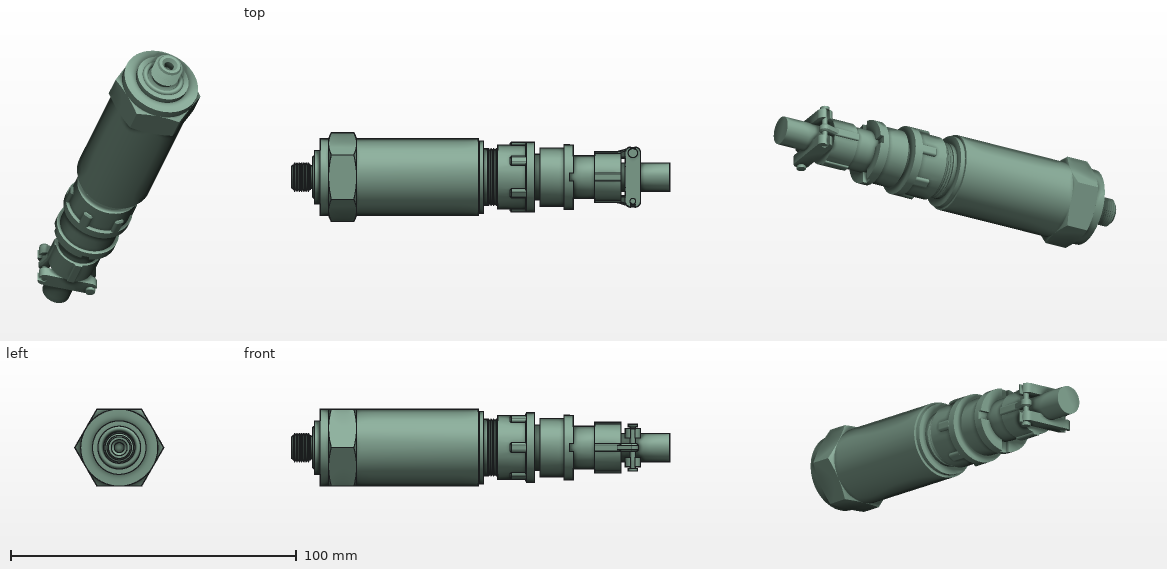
import cadquery as cq
import math


port_diameter = 10.0
port_root_diameter = 8.57
port_thread_pitch = 0.8
port_thread_turns = 7
port_undercut_diameter = 8.0
port_undercut_start = 6.7
port_tip_diameter = 7.6
port_thread_start = 0.7
port_bore_diameter = 3.5
port_bore_depth = 4.0
port_bore_mouth_diameter = 5.6
port_bore_mouth_depth = 1.0

o_ring_inner_diameter = 11.0
o_ring_section = 2.0
o_ring_outer_diameter = o_ring_inner_diameter + 2 * o_ring_section
o_ring_protrusion = 0.75

pilot_start = 8.0
body_start = 10.0
hex_start = 12.95
hex_end = 22.75
body_end = 65.4
end_cap_end = 67.2
shoulder_end = 68.5
housing_end = 72.1

pilot_diameter = 18.74
body_diameter = 27.0
hex_across_flats = body_diameter
hex_across_corners = hex_across_flats / math.cos(math.pi / 6)
hex_chamfer_length = 0.95
end_cap_diameter = 25.4
end_groove_width = 0.3
end_groove_diameter = 25.0
rear_thread_diameter = 19.88
rear_root_diameter = 18.74
rear_thread_turns = 4
rear_thread_pitch = (housing_end - shoulder_end) / rear_thread_turns

nut_start = housing_end
flange_start = 82.2
flange_end = 85.1
barrel_start = 86.9
ring_start = 95.3
ring_end = 98.6
collar_start = 106.1
collar_end = 115.3

nut_diameter = 22.5
flange_diameter = 24.5
flange_cone_length = 0.4
neck_diameter = 16.0
barrel_diameter = 20.5
ring_diameter = 22.8
tube_diameter = 15.0
collar_diameter = 16.74
collar_rib_diameter = 17.88
collar_rib_width = 2.9
collar_rib_edge_radius = 0.5

grip_count = 6
grip_width = 3.5
grip_length = 5.8
grip_edge_radius = 0.9
grip_chamfer = 0.6
notch_width = 2.9
notch_length = 1.3

clamp_x = 119.45
screw_y = 8.45
bar_width = 5.5
bar_half_length = 10.6
bar_corner_radius = 2.2
bar_inner_z = 3.4
bar_outer_z = 6.75
bar_slot_width = 1.6
screw_diameter = 2.0
screw_head_diameter = 3.3
screw_head_bottom_z = 7.25
screw_head_top_z = 8.25
screw_tip_recess = 0.3
ear_radius = 2.0
ear_thickness = 2.7
ear_edge_chamfer = 0.6
ear_root_length = 1.3

cable_diameter = 10.0
cable_end = 132.42


def revolve_x(points):
    """Revolve an (x, radius) outline about the X axis."""
    return cq.Workplane("XY").polyline(points).close().revolve(360, (0, 0, 0), (1, 0, 0))


def rod_x(start, end, diameter):
    return cq.Workplane("YZ", origin=(start, 0, 0)).circle(diameter / 2).extrude(end - start)


def thread_outline(start, pitch, turns, major, minor):
    """Zigzag crest and root points of a thread made of V-shaped rings."""
    points = []
    for turn in range(turns):
        root_x = start + turn * pitch
        points.append((root_x, minor / 2))
        points.append((root_x + pitch / 2, major / 2))
    points.append((start + turns * pitch, minor / 2))
    return points


def make_housing():
    port = revolve_x(
        [(0, 0), (0, port_tip_diameter / 2)]
        + thread_outline(port_thread_start, port_thread_pitch, port_thread_turns,
                         port_diameter, port_root_diameter)
        + [
            (port_undercut_start, port_root_diameter / 2),
            (port_undercut_start, port_undercut_diameter / 2),
            (pilot_start, port_undercut_diameter / 2),
            (pilot_start, 0),
        ]
    )
    port_bore = revolve_x([
        (0, 0),
        (0, port_bore_mouth_diameter / 2),
        (port_bore_mouth_depth, port_bore_diameter / 2),
        (port_bore_depth, port_bore_diameter / 2),
        (port_bore_depth, 0),
    ])

    groove_depth = o_ring_section - o_ring_protrusion
    o_ring_groove = rod_x(pilot_start, pilot_start + groove_depth, o_ring_outer_diameter).cut(
        rod_x(pilot_start, pilot_start + groove_depth, o_ring_inner_diameter)
    )
    pilot = rod_x(pilot_start, body_start, pilot_diameter).cut(o_ring_groove)

    hexagon = (
        cq.Workplane("YZ", origin=(hex_start, 0, 0))
        .polygon(6, hex_across_corners)
        .extrude(hex_end - hex_start)
    )
    hex_chamfer_cone = revolve_x([
        (hex_start, 0),
        (hex_start, hex_across_flats / 2),
        (hex_start + hex_chamfer_length, hex_across_corners / 2),
        (hex_end - hex_chamfer_length, hex_across_corners / 2),
        (hex_end, hex_across_flats / 2),
        (hex_end, 0),
    ])

    sleeve = rod_x(body_start, body_end, body_diameter)
    end_groove = rod_x(body_end, body_end + end_groove_width, end_groove_diameter)
    end_cap = rod_x(body_end + end_groove_width, end_cap_end, end_cap_diameter)

    rear_thread = revolve_x(
        [(end_cap_end, 0), (end_cap_end, rear_thread_diameter / 2),
         (shoulder_end, rear_thread_diameter / 2)]
        + thread_outline(shoulder_end, rear_thread_pitch, rear_thread_turns,
                         rear_thread_diameter, rear_root_diameter)
        + [(housing_end, 0)]
    )

    return (
        port.cut(port_bore)
        .union(pilot)
        .union(sleeve)
        .union(hexagon.intersect(hex_chamfer_cone))
        .union(end_groove)
        .union(end_cap)
        .union(rear_thread)
    )


def make_o_ring():
    centre_x = pilot_start - o_ring_protrusion + o_ring_section / 2
    centre_radius = (o_ring_inner_diameter + o_ring_section) / 2
    return (
        cq.Workplane("XY")
        .center(centre_x, centre_radius)
        .circle(o_ring_section / 2)
        .revolve(360, (0, -centre_radius, 0), (1, -centre_radius, 0))
    )


def make_coupling_nut():
    nut = rod_x(nut_start, flange_start, nut_diameter)
    flange = revolve_x([
        (flange_start - flange_cone_length, 0),
        (flange_start - flange_cone_length, nut_diameter / 2),
        (flange_start, flange_diameter / 2),
        (flange_end, flange_diameter / 2),
        (flange_end, 0),
    ])
    grip_height = (flange_diameter - neck_diameter) / 2
    grip_centre_y = (flange_diameter - grip_height) / 2
    grip = (
        cq.Workplane("XY", origin=(flange_start - grip_length / 2, grip_centre_y, 0))
        .box(grip_length, grip_height, grip_width)
        .edges("|X and >Y")
        .fillet(grip_edge_radius)
        .faces("<X")
        .chamfer(grip_chamfer)
    )
    nut = nut.union(flange)
    for index in range(grip_count):
        nut = nut.union(grip.rotate((0, 0, 0), (1, 0, 0), index * 360 / grip_count))
    return nut


def make_backshell():
    neck = rod_x(flange_end, barrel_start, neck_diameter)
    barrel = rod_x(barrel_start, ring_start, barrel_diameter)
    tube = rod_x(ring_end - notch_length, collar_start, tube_diameter)
    collar = rod_x(collar_start, collar_end, collar_diameter)

    cross_span = 2 * ring_diameter
    notch = (
        cq.Workplane("XY", origin=(ring_end - notch_length / 2, 0, 0))
        .box(notch_length, cross_span, notch_width)
    )
    ring = rod_x(ring_start, ring_end, ring_diameter)
    collar_length = collar_end - collar_start
    rib_pair = (
        cq.Workplane("XY", origin=((collar_start + collar_end) / 2, 0, 0))
        .box(collar_length, collar_rib_diameter, collar_rib_width)
        .edges("|X")
        .fillet(collar_rib_edge_radius)
    )
    for angle in (0, 90):
        ring = ring.cut(notch.rotate((0, 0, 0), (1, 0, 0), angle))
        collar = collar.union(rib_pair.rotate((0, 0, 0), (1, 0, 0), angle))
    return neck.union(barrel).union(ring).union(tube).union(collar)


def make_ear():
    """Lug that carries the clamp screw on the +Y side of the collar."""
    root_x = collar_end - ear_root_length
    root_y = collar_rib_diameter / 2

    root_distance = math.hypot(root_x - clamp_x, root_y - screw_y)
    root_angle = math.atan2(root_y - screw_y, root_x - clamp_x)
    tangent_angle = root_angle - math.acos(ear_radius / root_distance)
    tangent_x = clamp_x + ear_radius * math.cos(tangent_angle)
    tangent_y = screw_y + ear_radius * math.sin(tangent_angle)

    return (
        cq.Workplane("XY", origin=(0, 0, -ear_thickness / 2))
        .moveTo(root_x, screw_y - ear_radius)
        .lineTo(root_x, root_y)
        .lineTo(tangent_x, tangent_y)
        .threePointArc((clamp_x + ear_radius, screw_y), (clamp_x, screw_y - ear_radius))
        .close()
        .extrude(ear_thickness)
        .faces("<Z or >Z")
        .chamfer(ear_edge_chamfer)
    )


def make_screw():
    """Clamp screw on the +Y side, with its head on top."""
    tip_z = -bar_outer_z + screw_tip_recess
    shank = (
        cq.Workplane("XY", origin=(clamp_x, screw_y, tip_z))
        .circle(screw_diameter / 2)
        .extrude(screw_head_bottom_z - tip_z)
    )
    head = (
        cq.Workplane("XY", origin=(clamp_x, screw_y, screw_head_bottom_z))
        .circle(screw_head_diameter / 2)
        .extrude(screw_head_top_z - screw_head_bottom_z)
    )
    return shank.union(head)


def make_clamp():
    ear = make_ear()
    clamp = ear.union(ear.mirror("XZ"))

    bar = (
        cq.Workplane("XY", origin=(clamp_x, 0, bar_inner_z))
        .rect(bar_width, 2 * bar_half_length)
        .extrude(bar_outer_z - bar_inner_z)
        .edges("|Z")
        .fillet(bar_corner_radius)
    )
    slot_length = bar_half_length - screw_y
    slot_centre_y = screw_y + slot_length / 2
    slots = (
        cq.Workplane("XY", origin=(clamp_x, 0, bar_inner_z))
        .pushPoints([(0, slot_centre_y), (0, -slot_centre_y)])
        .rect(bar_slot_width, slot_length)
        .extrude(bar_outer_z - bar_inner_z)
    )
    screw_holes = (
        cq.Workplane("XY", origin=(clamp_x, 0, bar_inner_z))
        .pushPoints([(0, screw_y), (0, -screw_y)])
        .circle(screw_diameter / 2)
        .extrude(bar_outer_z - bar_inner_z)
    )
    bar = bar.cut(slots).cut(screw_holes)
    clamp = clamp.union(bar).union(bar.mirror("XY"))

    screw = make_screw()
    return clamp.union(screw).union(screw.rotate((0, 0, 0), (1, 0, 0), 180))


def make_cable():
    return rod_x(collar_start, cable_end, cable_diameter)


housing = make_housing()
o_ring = make_o_ring()
cable = make_cable()
connector = make_coupling_nut().union(make_backshell()).union(make_clamp()).cut(cable)

result = cq.Compound.makeCompound([
    housing.val(),
    o_ring.val(),
    connector.val(),
    cable.val(),
])